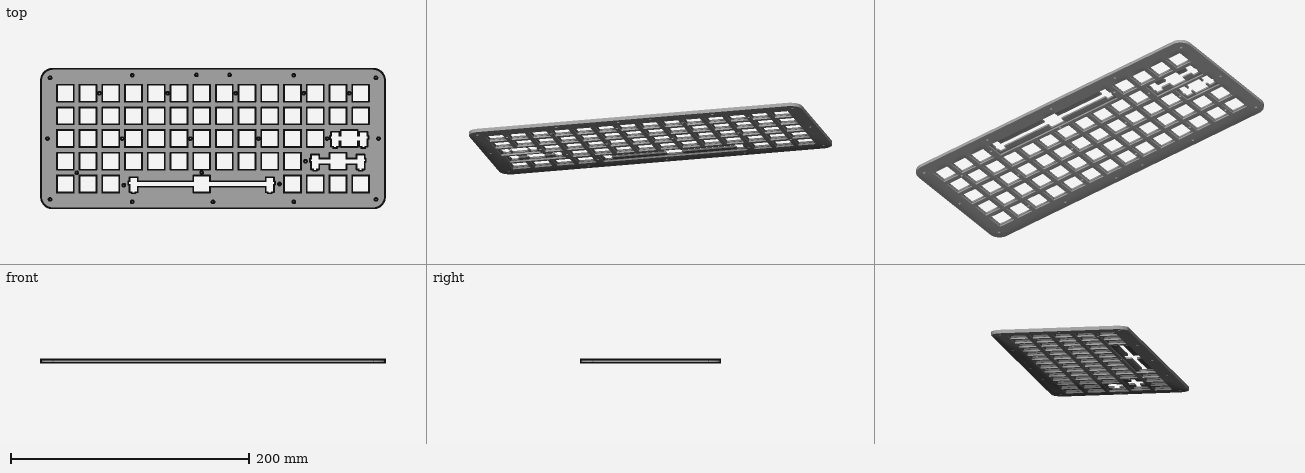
import cadquery as cq

KEY_PITCH = 19.05
COLUMNS = 14
ROWS = 5
BORDER = 11.0
THICKNESS = 3.0
CORNER_RADIUS = 10.0
PLATE_LENGTH = COLUMNS * KEY_PITCH + 2 * BORDER
PLATE_WIDTH = ROWS * KEY_PITCH + 2 * BORDER

SWITCH_SIZE = 14.0
CLIP_RELIEF = 0.5
LIP_THICKNESS = 1.5
POCKET_DEPTH = THICKNESS - LIP_THICKNESS
SINGLE_KEYS_BY_ROW = [
    range(COLUMNS),
    range(COLUMNS),
    range(12),
    range(11),
    [0, 1, 2, 10, 11, 12, 13],
]

BACKSPACE_CENTER = 13.0
BACKSPACE_ROW = 2
SHIFT_CENTER = 12.5
SHIFT_ROW = 3
SPACE_CENTER = 6.5
SPACE_ROW = 4

BACKSPACE_STABILIZER_OFFSET = 11.9
SHIFT_STABILIZER_OFFSET = 19.05
SPACE_STABILIZER_OFFSET = 57.15
HOUSING_WIDTH = 6.7
HOUSING_TOP = 5.6
HOUSING_BOTTOM = -6.77
FOOT_WIDTH = 3.0
FOOT_BOTTOM = -7.75
EAR_DEPTH = 0.875
EAR_TOP = 2.3
EAR_BOTTOM = -0.5
WIRE_SLOT_TOP = 2.3
WIRE_SLOT_BOTTOM = -2.3

WIDE_POCKET_MARGIN = 1.0
WIDE_POCKET_WIDTH = 16.5

SCREW_DIAMETER = 2.2
EDGE_INSET = 5.5
CORNER_INSET = 7.65
EDGE_SCREW_X = 67.8
TOP_INNER_SCREW_X = 13.9
TOP_INNER_INSET = 5.2

BACKSPACE_SCREW_OFFSET = 18.6
SHIFT_SCREW_OFFSET = 27.2
SPACE_SCREW_OFFSET = 65.3
LEFT_SPACE_SCREW_DROP = 0.9


def grid_x(pitches):
    """X of a position counted in key pitches from the left end of the grid."""
    return (pitches - COLUMNS / 2) * KEY_PITCH


def row_y(row):
    """Y of the centre of a row, with row 0 at +Y."""
    return ((ROWS - 1) / 2 - row) * KEY_PITCH


def cutter(left, right, bottom, top, height=THICKNESS):
    """Rectangular block rising from the underside; the default height goes through the plate."""
    block = cq.Workplane("XY").box(right - left, top - bottom, height, centered=False)
    return block.translate((left, bottom, 0))


def make_plate():
    plate = cq.Workplane("XY").rect(PLATE_LENGTH, PLATE_WIDTH).extrude(THICKNESS)
    return plate.edges("|Z").fillet(CORNER_RADIUS)


def single_key_centers():
    centers = []
    for row, columns in enumerate(SINGLE_KEYS_BY_ROW):
        for column in columns:
            centers.append((grid_x(column + 0.5), row_y(row)))
    return centers


def switch_cutter():
    """Square switch openings, widened below the lip that the switch clips hold on to."""
    opening = SWITCH_SIZE
    relief = SWITCH_SIZE + 2 * CLIP_RELIEF
    centers = single_key_centers()
    openings = cq.Workplane("XY").pushPoints(centers).rect(opening, opening).extrude(THICKNESS)
    reliefs = cq.Workplane("XY").pushPoints(centers).rect(relief, relief).extrude(POCKET_DEPTH)
    return openings.union(reliefs)


def wide_key_cutter(center, row, offset):
    """Switch opening, two stabilizer housings, wire slot and underside pocket of a wide key."""
    half_switch = SWITCH_SIZE / 2
    half_housing = HOUSING_WIDTH / 2
    half_foot = FOOT_WIDTH / 2
    shape = cutter(-half_switch, half_switch, -half_switch, half_switch)
    shape = shape.union(cutter(-offset, offset, WIRE_SLOT_BOTTOM, WIRE_SLOT_TOP))
    for side in (-1, 1):
        x = side * offset
        ear_x = x + side * half_housing
        shape = shape.union(cutter(x - half_housing, x + half_housing, HOUSING_BOTTOM, HOUSING_TOP))
        shape = shape.union(cutter(x - half_foot, x + half_foot, FOOT_BOTTOM, HOUSING_BOTTOM))
        shape = shape.union(cutter(ear_x - EAR_DEPTH, ear_x + EAR_DEPTH, EAR_BOTTOM, EAR_TOP))
    pocket_x = offset + half_housing + EAR_DEPTH + WIDE_POCKET_MARGIN
    pocket_y = WIDE_POCKET_WIDTH / 2
    shape = shape.union(cutter(-pocket_x, pocket_x, -pocket_y, pocket_y, POCKET_DEPTH))
    return shape.translate((grid_x(center), row_y(row), 0))


def outer_screw_centers():
    """Holes along the border of the plate."""
    edge_x = PLATE_LENGTH / 2 - EDGE_INSET
    edge_y = PLATE_WIDTH / 2 - EDGE_INSET
    top_inner_y = PLATE_WIDTH / 2 - TOP_INNER_INSET
    corner_x = PLATE_LENGTH / 2 - CORNER_INSET
    corner_y = PLATE_WIDTH / 2 - CORNER_INSET
    centers = [(0, -edge_y)]
    for side in (-1, 1):
        centers.append((side * corner_x, corner_y))
        centers.append((side * corner_x, -corner_y))
        centers.append((side * EDGE_SCREW_X, edge_y))
        centers.append((side * EDGE_SCREW_X, -edge_y))
        centers.append((side * TOP_INNER_SCREW_X, top_inner_y))
        centers.append((side * edge_x, 0))
    return centers


def inner_screw_centers():
    """Holes between the keys and beside the stabilizers."""
    space_x = grid_x(SPACE_CENTER)
    space_y = row_y(SPACE_ROW)
    above_space_y = row_y(SPACE_ROW - 0.5)
    centers = [(grid_x(pitches), row_y(0)) for pitches in (2, 5, 8, 11, 13)]
    centers += [(grid_x(pitches), row_y(2)) for pitches in (3, 6, 9)]
    centers += [(grid_x(1), above_space_y), (space_x, above_space_y)]
    centers.append((grid_x(BACKSPACE_CENTER) - BACKSPACE_SCREW_OFFSET, row_y(BACKSPACE_ROW)))
    centers.append((grid_x(SHIFT_CENTER) - SHIFT_SCREW_OFFSET, row_y(SHIFT_ROW)))
    centers.append((space_x - SPACE_SCREW_OFFSET, space_y - LEFT_SPACE_SCREW_DROP))
    centers.append((space_x + SPACE_SCREW_OFFSET, space_y))
    return centers


def screw_cutter():
    centers = outer_screw_centers() + inner_screw_centers()
    return cq.Workplane("XY").pushPoints(centers).circle(SCREW_DIAMETER / 2).extrude(THICKNESS)


plate = make_plate().cut(switch_cutter()).cut(screw_cutter())
for center, row, offset in (
    (BACKSPACE_CENTER, BACKSPACE_ROW, BACKSPACE_STABILIZER_OFFSET),
    (SHIFT_CENTER, SHIFT_ROW, SHIFT_STABILIZER_OFFSET),
    (SPACE_CENTER, SPACE_ROW, SPACE_STABILIZER_OFFSET),
):
    plate = plate.cut(wide_key_cutter(center, row, offset))

result = plate